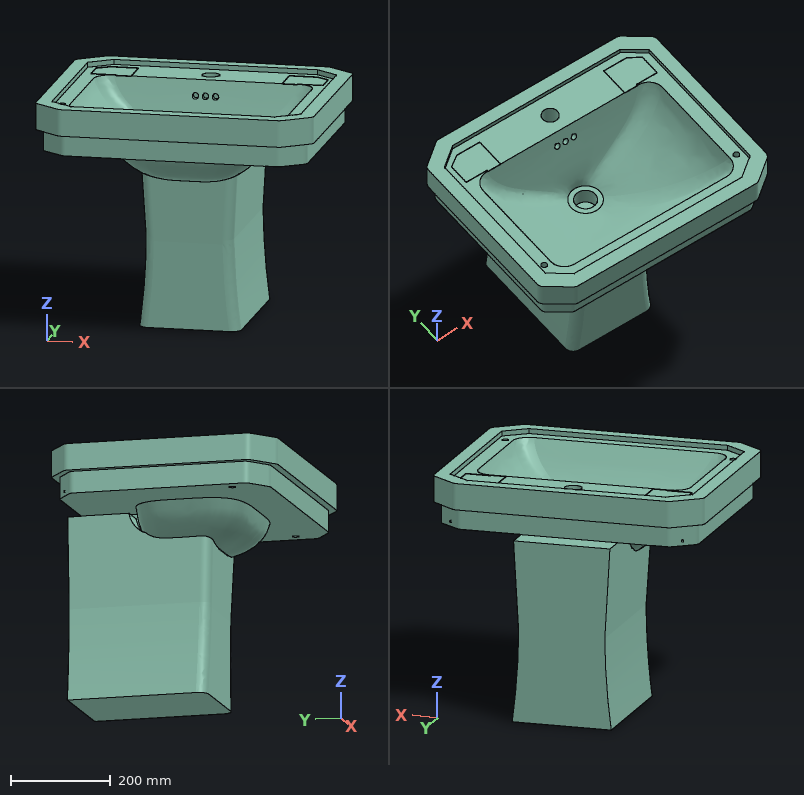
import cadquery as cq
import math


RIM_TOP = 485.0
RIM_HEIGHT = 55.0
TIER_HEIGHT = 44.5
RECESS_DEPTH = 10.0
DRAIN_SEAT_Z = 325.0
BOWL_BOTTOM_Z = 308.0
SPIGOT_BOTTOM_Z = 288.0
PEDESTAL_TOP = 376.0
RIM_BOTTOM = RIM_TOP - RIM_HEIGHT
TIER_BOTTOM = RIM_BOTTOM - TIER_HEIGHT
DECK_Z = RIM_TOP - RECESS_DEPTH

RIM_X = 570.0
RIM_Y = 470.0
RIM_CUT_X = 58.5
RIM_CUT_Y = 44.5
RIM_EDGE_RADIUS = 16.0
TIER_INSET_X = 14.0
TIER_INSET_Y = 16.0
TIER_CUT_X = 49.0
TIER_CUT_Y = 36.0
TIER_X = RIM_X - 2 * TIER_INSET_X
TIER_Y = RIM_Y - 2 * TIER_INSET_Y
RECESS_INSET = 30.0
RECESS_CUT_X = 46.0
RECESS_CUT_Y = 35.0

BOWL_HALF_X = 223.5
BOWL_FRONT_Y = -179.0
BOWL_BACK_Y = 116.0
BOWL_CORNER_RADIUS = 34.0
CAVITY_SHOULDER_Z = 439.0
CAVITY_SHOULDER_HALF_X = 202.5
CAVITY_SHOULDER_FRONT_Y = -154.0
CAVITY_SHOULDER_BACK_Y = 105.0
CAVITY_SHOULDER_RADIUS = 31.5
CAVITY_WAIST_Z = 390.5
CAVITY_WAIST_HALF_X = 145.5
CAVITY_WAIST_FRONT_Y = -111.0
CAVITY_WAIST_BACK_Y = 88.0
CAVITY_WAIST_RADIUS = 31.5

SHELL_TOP_HALF_X = 160.0
SHELL_TOP_FRONT_Y = -135.0
SHELL_TOP_BACK_Y = 98.5
SHELL_WAIST_Z = 336.5
SHELL_WAIST_HALF_X = 119.5
SHELL_WAIST_FRONT_Y = -112.0
SHELL_WAIST_BACK_Y = 91.0
SHELL_BASE_HALF_X = 68.5
SHELL_BASE_FRONT_Y = -60.5
SHELL_BASE_BACK_Y = 77.0
SHELL_ROUNDNESS = 3.8
SHELL_CURVE_POINTS = 24

CHANNEL_HALF_X = 45.5
CHANNEL_TOP_BACK_Y = 123.0
CHANNEL_LOW_BACK_Y = 97.0
CHANNEL_FRONT_Y = 57.0
CHANNEL_BOTTOM_Z = 328.0

DRAIN_Y = 39.5
DRAIN_SEAT_DIAMETER = 71.0
DRAIN_DIAMETER = 48.0
DRAIN_BACK_ANGLES = (28, 42)
DRAIN_FRONT_ANGLES = (24, 43)
TAP_Y = 158.5
TAP_DIAMETER = 36.0
OVERFLOW_DIAMETER = 12.5
OVERFLOW_SPACING = 20.5
OVERFLOW_Z = 443.0
OVERFLOW_START_Y = 68.5
OVERFLOW_END_Y = 117.0
CORNER_HOLE_X = 239.5
CORNER_HOLE_Y = -145.0
CORNER_HOLE_DIAMETER = 13.0
PIN_HOLE_DIAMETER = 4.5
PIN_HOLE_Y = 203.0
PIN_HOLE_Z = 396.0
PIN_HOLE_DEPTH = 11.5

TRAY_DEPTH = 1.0
TRAY_INNER_X = 154.5
TRAY_OUTER_X = 237.5
TRAY_STEP_X = 186.0
TRAY_BACK_Y = 187.0
TRAY_FRONT_Y = 119.5
TRAY_CUT_X = 26.0
TRAY_CUT_Y = 17.5

FOOT_HALF_X = 104.5
SHIN_HALF_X = 95.0
SHIN_Z = 85.5
NECK_HALF_X = 90.5
NECK_Z = 188.0
SHOULDER_HALF_X = 101.5
PEDESTAL_BACK_Y = RIM_Y / 2
FOOT_FRONT_Y = -53.0
FRONT_BEND_Y = -56.5
FRONT_BEND_Z = 179.5
SHOULDER_FRONT_Y = -63.0
PEDESTAL_EDGE_RADIUS = 20.5
SADDLE_BACK_Y = 108.0
SADDLE_MIDDLE_Y = 95.0
SADDLE_MIDDLE_Z = 349.5
SADDLE_LOW_Y = 64.0
SADDLE_LOW_Z = 332.5


def cut_corner_plan(length_x, length_y, cut_x, cut_y, z):
    """Rectangle with its four corners cut off, centred on the Z axis at height z."""
    half_x = length_x / 2
    half_y = length_y / 2
    quarter = [(half_x, half_y - cut_y), (half_x - cut_x, half_y)]
    left_back = [(-x, y) for x, y in reversed(quarter)]
    front = [(-x, -y) for x, y in quarter + left_back]
    return cq.Workplane("XY").workplane(offset=z).polyline(quarter + left_back + front).close()


def rounded_section(half_x, front_y, back_y, radius, z):
    """Wire of a rounded rectangle at height z, symmetric about x = 0."""
    flat_x = half_x - radius
    return (
        cq.Workplane("XY", origin=(0, 0, z))
        .moveTo(flat_x, front_y)
        .radiusArc((half_x, front_y + radius), -radius)
        .lineTo(half_x, back_y - radius)
        .radiusArc((flat_x, back_y), -radius)
        .lineTo(-flat_x, back_y)
        .radiusArc((-half_x, back_y - radius), -radius)
        .lineTo(-half_x, front_y + radius)
        .radiusArc((-flat_x, front_y), -radius)
        .close()
        .val()
    )


def drain_section():
    """Drain seat circle as eight arcs, one for each edge of a rounded rectangle."""
    front_low, front_high = DRAIN_FRONT_ANGLES
    back_low, back_high = DRAIN_BACK_ANGLES
    angles = [-front_high, -front_low, back_low, back_high]
    angles += [180 - angle for angle in reversed(angles)]
    angles.append(angles[0] + 360)

    def on_circle(angle):
        radius = DRAIN_SEAT_DIAMETER / 2
        turn = math.radians(angle)
        return (radius * math.cos(turn), DRAIN_Y + radius * math.sin(turn))

    outline = cq.Workplane("XY", origin=(0, 0, DRAIN_SEAT_Z)).moveTo(*on_circle(angles[0]))
    for start, end in zip(angles, angles[1:]):
        outline = outline.threePointArc(on_circle((start + end) / 2), on_circle(end))
    return outline.close().val()


def make_cavity():
    """Funnel from the rectangular bowl opening down to the round drain seat."""
    opening = rounded_section(BOWL_HALF_X, BOWL_FRONT_Y, BOWL_BACK_Y, BOWL_CORNER_RADIUS, DECK_Z)
    shoulder = rounded_section(
        CAVITY_SHOULDER_HALF_X,
        CAVITY_SHOULDER_FRONT_Y,
        CAVITY_SHOULDER_BACK_Y,
        CAVITY_SHOULDER_RADIUS,
        CAVITY_SHOULDER_Z,
    )
    waist = rounded_section(
        CAVITY_WAIST_HALF_X,
        CAVITY_WAIST_FRONT_Y,
        CAVITY_WAIST_BACK_Y,
        CAVITY_WAIST_RADIUS,
        CAVITY_WAIST_Z,
    )
    return cq.Workplane(cq.Solid.makeLoft([opening, shoulder, waist, drain_section()]))


def shell_section(half_x, front_y, back_y, z):
    """Superellipse at height z, symmetric about x = 0."""
    half_y = (back_y - front_y) / 2
    middle_y = (back_y + front_y) / 2

    def point(turn):
        cosine = math.cos(turn)
        sine = math.sin(turn)
        size = abs(cosine) ** SHELL_ROUNDNESS + abs(sine) ** SHELL_ROUNDNESS
        radius = size ** (-1 / SHELL_ROUNDNESS)
        return cq.Vector(half_x * radius * cosine, middle_y + half_y * radius * sine, z)

    points = [point(2 * math.pi * step / SHELL_CURVE_POINTS) for step in range(SHELL_CURVE_POINTS)]
    return cq.Wire.assembleEdges([cq.Edge.makeSpline(points, periodic=True)])


def make_bowl_shell():
    """Solid convex underside of the bowl."""
    top = shell_section(SHELL_TOP_HALF_X, SHELL_TOP_FRONT_Y, SHELL_TOP_BACK_Y, TIER_BOTTOM)
    waist = shell_section(SHELL_WAIST_HALF_X, SHELL_WAIST_FRONT_Y, SHELL_WAIST_BACK_Y, SHELL_WAIST_Z)
    base = shell_section(SHELL_BASE_HALF_X, SHELL_BASE_FRONT_Y, SHELL_BASE_BACK_Y, BOWL_BOTTOM_Z)
    return cq.Workplane(cq.Solid.makeLoft([top, waist, base]))


def make_drain_spigot():
    """Short round stub that carries the drain hole below the bowl."""
    return (
        cq.Workplane("XY", origin=(0, DRAIN_Y, SPIGOT_BOTTOM_Z))
        .circle(DRAIN_SEAT_DIAMETER / 2)
        .extrude(DRAIN_SEAT_Z - SPIGOT_BOTTOM_Z)
    )


def make_overflow_channel():
    """Sloping block down the back of the bowl."""
    return (
        cq.Workplane("YZ")
        .moveTo(CHANNEL_FRONT_Y, TIER_BOTTOM)
        .lineTo(CHANNEL_TOP_BACK_Y, TIER_BOTTOM)
        .lineTo(CHANNEL_LOW_BACK_Y, CHANNEL_BOTTOM_Z)
        .lineTo(CHANNEL_FRONT_Y, CHANNEL_BOTTOM_Z)
        .close()
        .extrude(CHANNEL_HALF_X, both=True)
    )


def make_basin_envelope():
    """Outer shape of the basin, without any recess or hole."""
    rim = cut_corner_plan(RIM_X, RIM_Y, RIM_CUT_X, RIM_CUT_Y, RIM_BOTTOM).extrude(RIM_HEIGHT)
    rim = rim.edges("|Z").fillet(RIM_EDGE_RADIUS)
    tier = cut_corner_plan(TIER_X, TIER_Y, TIER_CUT_X, TIER_CUT_Y, TIER_BOTTOM).extrude(TIER_HEIGHT)
    tier = tier.edges("|Z").fillet(RIM_EDGE_RADIUS)
    bowl = make_bowl_shell().union(make_overflow_channel()).union(make_drain_spigot())
    return rim.union(tier).union(bowl)


def make_soap_tray(side):
    """Shallow tray in a back corner of the deck; side is -1 or 1."""
    outline = [
        (TRAY_INNER_X, TRAY_BACK_Y),
        (TRAY_OUTER_X - TRAY_CUT_X, TRAY_BACK_Y),
        (TRAY_OUTER_X, TRAY_BACK_Y - TRAY_CUT_Y),
        (TRAY_OUTER_X, TRAY_FRONT_Y),
        (TRAY_STEP_X, TRAY_FRONT_Y),
        (TRAY_STEP_X, BOWL_BACK_Y),
        (TRAY_INNER_X, BOWL_BACK_Y),
    ]
    outline = [(side * x, y) for x, y in outline]
    floor = cq.Workplane("XY", origin=(0, 0, DECK_Z - TRAY_DEPTH)).polyline(outline).close()
    return floor.extrude(TRAY_DEPTH)


def drill_down(x, y, diameter):
    """Vertical drill from the deck down through the whole basin."""
    return (
        cq.Workplane("XY", origin=(x, y, SPIGOT_BOTTOM_Z))
        .circle(diameter / 2)
        .extrude(DECK_Z - SPIGOT_BOTTOM_Z)
    )


def make_overflow_holes():
    """Row of three holes through the back wall of the bowl."""
    return (
        cq.Workplane("XZ", origin=(0, OVERFLOW_END_Y, OVERFLOW_Z))
        .rarray(OVERFLOW_SPACING, 5.5, 3, 1)
        .circle(OVERFLOW_DIAMETER / 2)
        .extrude(OVERFLOW_END_Y - OVERFLOW_START_Y)
    )


def make_pin_hole(side):
    """Small blind hole square to a back cut corner of the lower tier; side is -1 or 1."""
    corner_y = TIER_Y / 2 - PIN_HOLE_Y
    surface_x = TIER_X / 2 - TIER_CUT_X * (1 - corner_y / TIER_CUT_Y)
    start = cq.Vector(side * surface_x, PIN_HOLE_Y, PIN_HOLE_Z)
    inward = cq.Vector(-side * TIER_CUT_Y, -TIER_CUT_X, 0)
    return cq.Workplane(cq.Solid.makeCylinder(PIN_HOLE_DIAMETER / 2, PIN_HOLE_DEPTH, start, inward))


def make_basin(envelope):
    """Basin body: the envelope with the deck recess, bowl, trays and holes removed."""
    recess = cut_corner_plan(
        RIM_X - 2 * RECESS_INSET, RIM_Y - 2 * RECESS_INSET, RECESS_CUT_X, RECESS_CUT_Y, DECK_Z
    ).extrude(RECESS_DEPTH)
    basin = envelope.cut(recess).cut(make_cavity()).cut(make_overflow_holes())
    basin = basin.cut(drill_down(0, DRAIN_Y, DRAIN_DIAMETER))
    basin = basin.cut(drill_down(0, TAP_Y, TAP_DIAMETER))
    for side in (-1, 1):
        basin = basin.cut(drill_down(side * CORNER_HOLE_X, CORNER_HOLE_Y, CORNER_HOLE_DIAMETER))
        basin = basin.cut(make_soap_tray(side))
        basin = basin.cut(make_pin_hole(side))
    return basin


def make_saddle():
    """Curved clearance across the top of the pedestal, around the back of the bowl."""
    return (
        cq.Workplane("YZ")
        .moveTo(SADDLE_BACK_Y, PEDESTAL_TOP)
        .threePointArc((SADDLE_MIDDLE_Y, SADDLE_MIDDLE_Z), (SADDLE_LOW_Y, SADDLE_LOW_Z))
        .lineTo(SHOULDER_FRONT_Y, SADDLE_LOW_Z)
        .lineTo(SHOULDER_FRONT_Y, PEDESTAL_TOP)
        .close()
        .extrude(SHOULDER_HALF_X, both=True)
    )


def make_pedestal(envelope):
    """Pedestal body: flared foot, narrow neck and widening top, hollowed to receive the bowl."""
    width_profile = (
        cq.Workplane("XZ", origin=(0, PEDESTAL_BACK_Y, 0))
        .moveTo(-FOOT_HALF_X, 0)
        .lineTo(FOOT_HALF_X, 0)
        .threePointArc((SHIN_HALF_X, SHIN_Z), (NECK_HALF_X, NECK_Z))
        .lineTo(SHOULDER_HALF_X, PEDESTAL_TOP)
        .lineTo(-SHOULDER_HALF_X, PEDESTAL_TOP)
        .lineTo(-NECK_HALF_X, NECK_Z)
        .threePointArc((-SHIN_HALF_X, SHIN_Z), (-FOOT_HALF_X, 0))
        .close()
        .extrude(PEDESTAL_BACK_Y - SHOULDER_FRONT_Y)
    )
    side_profile = (
        cq.Workplane("YZ")
        .moveTo(PEDESTAL_BACK_Y, 0)
        .lineTo(FOOT_FRONT_Y, 0)
        .lineTo(FRONT_BEND_Y, FRONT_BEND_Z)
        .lineTo(SHOULDER_FRONT_Y, PEDESTAL_TOP)
        .lineTo(PEDESTAL_BACK_Y, PEDESTAL_TOP)
        .close()
        .extrude(FOOT_HALF_X, both=True)
    )
    column = width_profile.intersect(side_profile)
    front_corners = column.edges("not(|X or |Y)").filter(lambda edge: edge.Center().y < 0)
    column = front_corners.fillet(PEDESTAL_EDGE_RADIUS)
    return column.cut(make_saddle()).cut(envelope)


basin_envelope = make_basin_envelope()
basin = make_basin(basin_envelope)
pedestal = make_pedestal(basin_envelope)

result = cq.Compound.makeCompound([basin.solids().val(), pedestal.solids().val()])